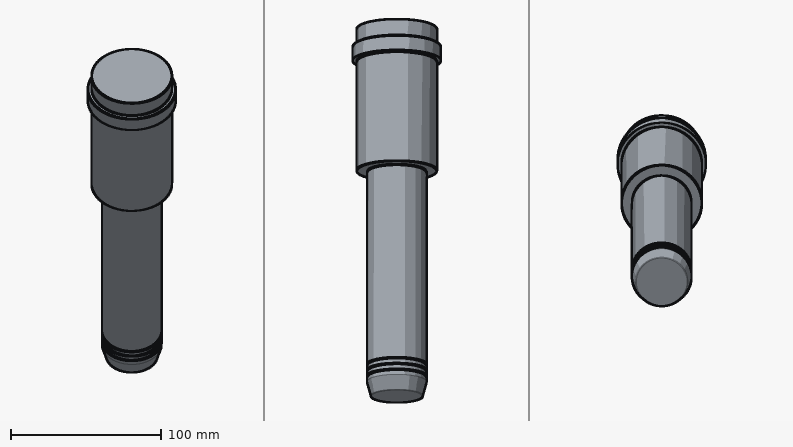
import cadquery as cq
import math

TOTAL_LENGTH = 253.0
HEAD_LENGTH = 12.0
FLANGE_THICKNESS = 10.0
SHANK_LENGTH = 76.0
TAPER_LENGTH = 10.0

FLANGE_DIAMETER = 59.0
SHANK_DIAMETER = 54.0
PIN_DIAMETER = 40.0

TAPER_ANGLE = 15.0

EDGE_CHAMFER = 0.5
TIP_FILLET = 0.5

RELIEF_WIDTH = 1.0
RELIEF_DEPTH = 0.5
RELIEF_CHAMFER = 0.25

GROOVE_COUNT = 3
GROOVE_PITCH = 4.0
GROOVE_RADIUS = 0.5
LOWEST_GROOVE_HEIGHT = 13.5

tip_radius = PIN_DIAMETER / 2 - TAPER_LENGTH * math.tan(math.radians(TAPER_ANGLE))
pin_radius = PIN_DIAMETER / 2
shank_radius = SHANK_DIAMETER / 2
flange_radius = FLANGE_DIAMETER / 2

flange_top = TOTAL_LENGTH - HEAD_LENGTH
flange_bottom = flange_top - FLANGE_THICKNESS
shank_bottom = flange_bottom - SHANK_LENGTH


def turned(outline):
    """Solid of revolution about Z from a closed outline in the XZ plane."""
    return outline.close().revolve(360, (0, 0, 0), (0, 1, 0))


def make_body():
    """Tapered pin, thicker shank, flange and head turned from one outline."""
    body = turned(
        cq.Workplane("XZ").polyline([
            (0, 0),
            (tip_radius, 0),
            (pin_radius, TAPER_LENGTH),
            (pin_radius, shank_bottom),
            (shank_radius - EDGE_CHAMFER, shank_bottom),
            (shank_radius, shank_bottom + EDGE_CHAMFER),
            (shank_radius, flange_bottom),
            (flange_radius, flange_bottom),
            (flange_radius, flange_top - EDGE_CHAMFER),
            (flange_radius - EDGE_CHAMFER, flange_top),
            (shank_radius, flange_top),
            (shank_radius, TOTAL_LENGTH - EDGE_CHAMFER),
            (shank_radius - EDGE_CHAMFER, TOTAL_LENGTH),
            (0, TOTAL_LENGTH),
        ])
    )
    return body.faces("<Z").edges().fillet(TIP_FILLET)


def relief_cutter(radius, shoulder, direction):
    """Ring for a relief groove that starts at a shoulder and runs up (+1) or down (-1)."""
    inner = radius - RELIEF_DEPTH
    far_end = shoulder + direction * RELIEF_WIDTH
    return turned(
        cq.Workplane("XZ").polyline([
            (inner, shoulder),
            (radius, shoulder),
            (radius, far_end),
            (inner + RELIEF_CHAMFER, far_end),
            (inner, far_end - direction * RELIEF_CHAMFER),
        ])
    )


def oil_groove_cutter(height):
    """Ring of half-round section centred on the pin surface at the given height."""
    return turned(
        cq.Workplane("XZ")
        .moveTo(pin_radius, height - GROOVE_RADIUS)
        .threePointArc((pin_radius - GROOVE_RADIUS, height), (pin_radius, height + GROOVE_RADIUS))
    )


result = make_body()
result = result.cut(relief_cutter(shank_radius, flange_top, 1))
result = result.cut(relief_cutter(shank_radius, flange_bottom, -1))
result = result.cut(relief_cutter(pin_radius, shank_bottom, -1))
for index in range(GROOVE_COUNT):
    result = result.cut(oil_groove_cutter(LOWEST_GROOVE_HEIGHT + index * GROOVE_PITCH))